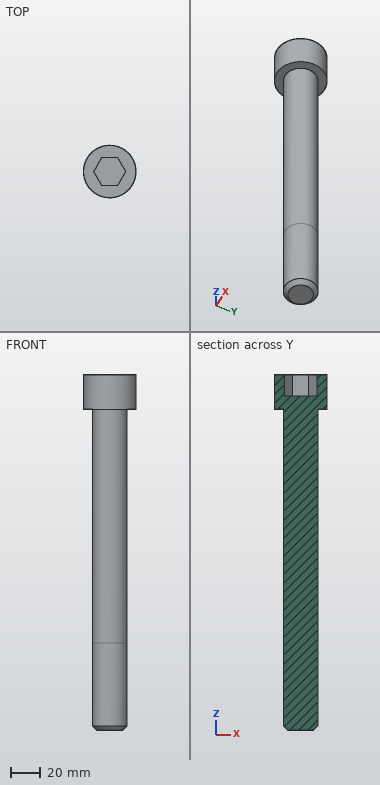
import cadquery as cq
import math

total_length = 244.0
head_diameter = 36.0
shank_diameter = 24.0
head_height = shank_diameter
shank_length = total_length - head_height

thread_length = 60.0
tip_chamfer = 3.2

socket_across_flats = 19.0
socket_across_corners = socket_across_flats / math.cos(math.radians(30))
socket_depth = 14.6


def make_head():
    """Cylindrical head seated on the plane Z = 0, with its hexagonal socket."""
    head = cq.Workplane("XY").circle(head_diameter / 2).extrude(head_height)
    socket = (
        cq.Workplane("XY", origin=(0, 0, head_height))
        .polygon(6, socket_across_corners)
        .extrude(-socket_depth)
    )
    return head.cut(socket)


def make_shank():
    """Plain shank below the head, ending where the threaded end begins."""
    return cq.Workplane("XY").circle(shank_diameter / 2).extrude(thread_length - shank_length)


def make_threaded_end():
    """Cylindrical end of the screw with a chamfered tip."""
    return (
        cq.Workplane("XY", origin=(0, 0, -shank_length))
        .circle(shank_diameter / 2)
        .extrude(thread_length)
        .faces("<Z")
        .chamfer(tip_chamfer)
    )


result = make_head().union(make_shank()).union(make_threaded_end())